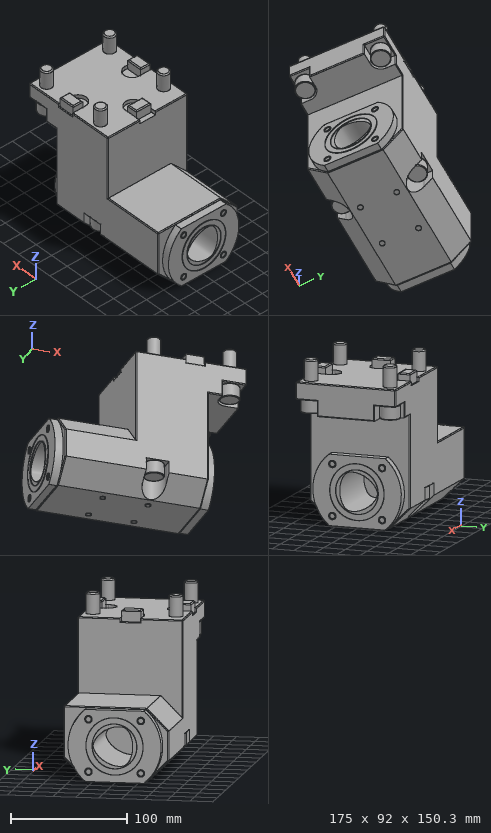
import cadquery as cq
import math

OVERALL_LENGTH = 175.0
WIDTH = 92.0
HALF_WIDTH = WIDTH / 2
TOWER_LEFT = 73.0
TOWER_TOP = 130.9
OVERHANG_BOTTOM = 101.7
BODY_HEIGHT = 64.4
BODY_BEVEL = 19.2
EDGE_CHAMFER = 0.9

FLANGE_DIAMETER = 81.5
FLANGE_THICKNESS = 7.5
AXIS_HEIGHT = 31.7
FLANGE_FLAT_HEIGHT = 63.2
RING_OUTER_DIAMETER = 50.0
RING_INNER_DIAMETER = 39.2
RING_HEIGHT = 0.7
BODY_LEFT = RING_HEIGHT + FLANGE_THICKNESS
BODY_RIGHT = 139.8
BODY_MIDDLE = (BODY_LEFT + BODY_RIGHT) / 2

PORT_MOUTH_RADIUS = 17.3
PORT_FLOOR_RADIUS = 16.6
LOBE_HEIGHT = 1.4
PORT_DEPTH = 56.0
PORT_CURVE_STEPS = 36

FLANGE_SCREW_OFFSET = 23.0
FLANGE_SCREW_DIAMETER = 4.9
SCREW_GROOVE_DIAMETER = 6.5
SCREW_GROOVE_DEPTH = 0.5

SCREW_DIAMETER = 12.0
SCREW_HEAD_DIAMETER = 18.0
SCREW_HEAD_HEIGHT = 12.5
SCREW_HEAD_CHAMFER = 0.7
SCREW_TOP = 149.6
SCREW_TIP_CHAMFER = 1.2
SCREW_Y = 36.4
BODY_SCREW_X = 93.1
OVERHANG_SCREW_X = 162.8
BODY_SEAT_Z = 30.1
OVERHANG_SEAT_Z = 115.3
HEAD_POCKET_WIDTH = 21.0
HEAD_POCKET_DEPTH = 18.9
NOTCH_CORNER_RADIUS = 10.0
NOTCH_DEPTH = 19.6

KEY_WIDTH = 17.0
SLOT_WIDTH = 18.0
KEY_LENGTH = 11.2
KEY_BOTTOM = 127.0
KEY_TOP = 137.2
KEY_CHAMFER = 1.0
SIDE_KEY_X = 128.0
SIDE_SLOT_LENGTH = 23.8
SIDE_KEY_SETBACK = 1.4
LEFT_SLOT_LENGTH = 27.5
LEFT_KEY_SETBACK = 5.2

STUD_DIAMETER = 5.0
STUD_HEIGHT = 0.7
STUD_X = (53.2, 94.8)
STUD_Y = 17.5


def disc(diameter, x_start, length, y=0.0, z=AXIS_HEIGHT):
    """Cylinder along +X."""
    plane = cq.Workplane("YZ", origin=(x_start, y, z))
    return plane.circle(diameter / 2).extrude(length)


def post(diameter, x, y, z_start, z_end):
    """Cylinder along +Z."""
    plane = cq.Workplane("XY", origin=(x, y, z_start))
    return plane.circle(diameter / 2).extrude(z_end - z_start)


def lying_body():
    """Prism along X, bevelled at both lower edges and at the upper -Y edge."""
    profile = [
        (HALF_WIDTH, BODY_BEVEL),
        (HALF_WIDTH, BODY_HEIGHT),
        (BODY_BEVEL - HALF_WIDTH, BODY_HEIGHT),
        (-HALF_WIDTH, BODY_HEIGHT - BODY_BEVEL),
        (-HALF_WIDTH, BODY_BEVEL),
        (BODY_BEVEL - HALF_WIDTH, 0),
        (HALF_WIDTH - BODY_BEVEL, 0),
    ]
    plane = cq.Workplane("YZ", origin=(BODY_LEFT, 0, 0))
    prism = plane.polyline(profile).close().extrude(BODY_RIGHT - BODY_LEFT)
    square_edge = cq.selectors.NearestToPointSelector((BODY_MIDDLE, HALF_WIDTH, BODY_HEIGHT))
    prism = prism.edges(square_edge).chamfer(EDGE_CHAMFER)
    return prism.faces("<X or >X").edges().chamfer(EDGE_CHAMFER)


def overhang_notch(side):
    """Room for a screw head in a lower corner of the overhang, rounded at its inner corner."""
    size = 2 * NOTCH_DEPTH
    notch = cq.Workplane("XY").box(size, size, OVERHANG_SEAT_Z - OVERHANG_BOTTOM, centered=False)
    notch = notch.edges("|Z and <X and <Y").fillet(NOTCH_CORNER_RADIUS)
    left = OVERHANG_SCREW_X - NOTCH_CORNER_RADIUS
    notch = notch.translate((left, HALF_WIDTH - NOTCH_DEPTH, OVERHANG_BOTTOM))
    if side < 0:
        notch = notch.mirror("XZ")
    return notch


def tower():
    """Upright block with the overhang, as one profile across the full width, less the two notches."""
    profile = [
        (TOWER_LEFT, BODY_BEVEL),
        (BODY_RIGHT, BODY_BEVEL),
        (BODY_RIGHT, OVERHANG_BOTTOM),
        (OVERALL_LENGTH, OVERHANG_BOTTOM),
        (OVERALL_LENGTH, TOWER_TOP),
        (TOWER_LEFT, TOWER_TOP),
    ]
    plane = cq.Workplane("XZ", origin=(0, HALF_WIDTH, 0))
    block = plane.polyline(profile).close().extrude(WIDTH)
    for side in (-1, 1):
        block = block.cut(overhang_notch(side))
    return block.faces("<Y or >Y or >Z or >X").edges("not <Z").chamfer(EDGE_CHAMFER)


def round_slot(length, floor_z):
    """Slot along +X from the origin, ending in a half circle."""
    radius = SLOT_WIDTH / 2
    plane = cq.Workplane("XY", origin=(0, 0, floor_z))
    slot = plane.moveTo(0, -radius).lineTo(length - radius, -radius)
    slot = slot.threePointArc((length, 0), (length - radius, radius))
    return slot.lineTo(0, radius).close().extrude(TOWER_TOP - floor_z)


def key(setback):
    """Key lying in a slot, its outer end set back from the wall."""
    block = cq.Workplane("XY").box(KEY_LENGTH, KEY_WIDTH, KEY_TOP - KEY_BOTTOM, centered=(False, True, False))
    block = block.faces(">Z").edges().chamfer(KEY_CHAMFER)
    return block.translate((setback, 0, KEY_BOTTOM))


def place_on_wall(shape, x, y, angle):
    return shape.rotate((0, 0, 0), (0, 0, 1), angle).translate((x, y, 0))


def add_keys(block):
    places = (
        (TOWER_LEFT, 0, 0, LEFT_SLOT_LENGTH, LEFT_KEY_SETBACK),
        (SIDE_KEY_X, -HALF_WIDTH, 90, SIDE_SLOT_LENGTH, SIDE_KEY_SETBACK),
        (SIDE_KEY_X, HALF_WIDTH, -90, SIDE_SLOT_LENGTH, SIDE_KEY_SETBACK),
    )
    for x, y, angle, slot_length, setback in places:
        slot = place_on_wall(round_slot(slot_length, KEY_BOTTOM), x, y, angle)
        block = block.cut(slot).union(place_on_wall(key(setback), x, y, angle))
    return block


def head_pocket(side):
    """U-shaped pocket for a screw head, open to the side wall and downwards."""
    radius = HEAD_POCKET_WIDTH / 2
    round_y = HALF_WIDTH - HEAD_POCKET_DEPTH + radius
    profile = cq.Workplane("XY").moveTo(BODY_SCREW_X - radius, side * WIDTH)
    profile = profile.lineTo(BODY_SCREW_X - radius, side * round_y)
    profile = profile.threePointArc(
        (BODY_SCREW_X, side * (round_y - radius)),
        (BODY_SCREW_X + radius, side * round_y),
    )
    return profile.lineTo(BODY_SCREW_X + radius, side * WIDTH).close().extrude(BODY_SEAT_Z)


def mounting_screw(x, y, seat_z):
    shank = post(SCREW_DIAMETER, x, y, seat_z, SCREW_TOP).faces(">Z").chamfer(SCREW_TIP_CHAMFER)
    head = post(SCREW_HEAD_DIAMETER, x, y, seat_z - SCREW_HEAD_HEIGHT, seat_z)
    return shank.union(head.faces("<Z or >Z").edges().chamfer(SCREW_HEAD_CHAMFER))


def add_mounting_screws(block):
    for side in (-1, 1):
        block = block.cut(head_pocket(side))
        block = block.union(mounting_screw(BODY_SCREW_X, side * SCREW_Y, BODY_SEAT_Z))
        block = block.union(mounting_screw(OVERHANG_SCREW_X, side * SCREW_Y, OVERHANG_SEAT_Z))
    return block


def port_outline(plane, mean_radius):
    """Closed smooth curve of constant width with three lobes, one of them towards +Y."""

    def point(turn):
        angle = 2 * math.pi * turn
        support = mean_radius + LOBE_HEIGHT * math.cos(3 * angle)
        slope = -3 * LOBE_HEIGHT * math.sin(3 * angle)
        y = support * math.cos(angle) - slope * math.sin(angle)
        z = support * math.sin(angle) + slope * math.cos(angle)
        return y, z

    points = [point(step / PORT_CURVE_STEPS) for step in range(PORT_CURVE_STEPS)]
    return plane.spline(points, periodic=True).close()


def port():
    """Three-lobed blind port along +X, narrowing slightly towards its floor."""
    mouth_plane = cq.Workplane("YZ", origin=(RING_HEIGHT, 0, AXIS_HEIGHT))
    mouth = port_outline(mouth_plane, PORT_MOUTH_RADIUS)
    return port_outline(mouth.workplane(offset=PORT_DEPTH), PORT_FLOOR_RADIUS).loft(ruled=True)


def flange():
    """Left flange disc, flattened above and below, with its raised ring."""
    slab = cq.Workplane("XY").box(BODY_LEFT, WIDTH, FLANGE_FLAT_HEIGHT, centered=(False, True, False))
    plate = disc(FLANGE_DIAMETER, RING_HEIGHT, FLANGE_THICKNESS).intersect(slab)
    ring = disc(RING_OUTER_DIAMETER, 0, RING_HEIGHT).cut(disc(RING_INNER_DIAMETER, 0, RING_HEIGHT))
    plate = plate.union(ring)
    for y in (-FLANGE_SCREW_OFFSET, FLANGE_SCREW_OFFSET):
        for z in (AXIS_HEIGHT - FLANGE_SCREW_OFFSET, AXIS_HEIGHT + FLANGE_SCREW_OFFSET):
            groove = disc(SCREW_GROOVE_DIAMETER, RING_HEIGHT, SCREW_GROOVE_DEPTH, y, z)
            screw = disc(FLANGE_SCREW_DIAMETER, RING_HEIGHT, SCREW_GROOVE_DEPTH, y, z)
            plate = plate.cut(groove.cut(screw))
    return plate


def to_right_end(shape):
    return shape.mirror("YZ", (BODY_MIDDLE, 0, 0))


def add_studs(block):
    for x in STUD_X:
        for y in (-STUD_Y, STUD_Y):
            block = block.union(post(STUD_DIAMETER, x, y, -STUD_HEIGHT, 0))
    return block


block = lying_body().union(tower())
block = add_keys(block)
block = add_mounting_screws(block)
block = block.union(flange()).union(to_right_end(flange()))
block = block.cut(port()).cut(to_right_end(port()))
result = add_studs(block)